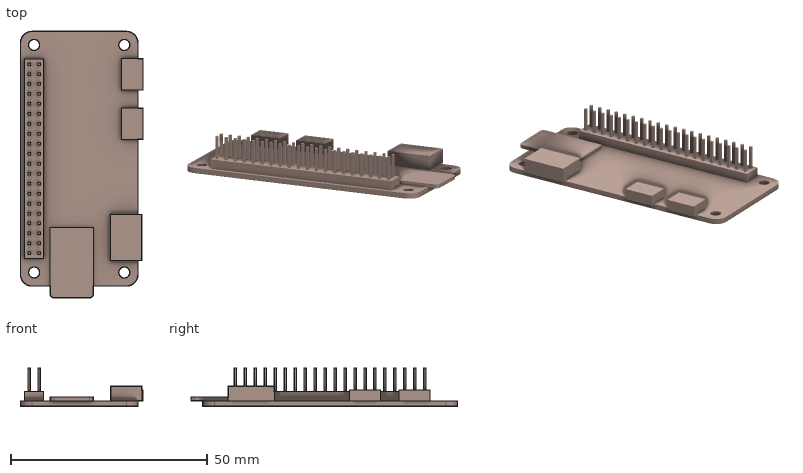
import cadquery as cq

board_width = 30.0
board_length = 65.0
board_thickness = 1.4
board_corner_radius = 3.0

hole_diameter = 2.75
hole_edge_distance = 3.5

pin_pitch = 2.54
pin_columns = 2
pin_rows = 20
pin_size = 0.64
header_height = 2.45
header_width = 4.9
header_length = pin_rows * pin_pitch
header_edge_distance = 3.5
pin_height = 6.0

usb_width = 5.5
usb_length = 8.0
usb_height = 2.8
usb_overhang = 1.3
usb_end_distances = (41.4, 54.0)

hdmi_width = 8.0
hdmi_length = 11.8
hdmi_height = 3.8
hdmi_overhang = 1.0
hdmi_end_distance = 12.4

card_width = 11.0
card_length = 18.0
card_height = 1.0
card_overhang = 3.0
card_corner_radius = 1.0
card_edge_distance = 13.1

left_edge = -board_width / 2
right_edge = board_width / 2
front_edge = -board_length / 2
header_x = left_edge + header_edge_distance


def block_on_board(width, length, height, x, y):
    """A rectangular block standing on the board, centred at (x, y)."""
    block = cq.Workplane("XY").box(width, length, height, centered=(True, True, False))
    return block.translate((x, y, board_thickness))


def make_board():
    board = cq.Workplane("XY").box(
        board_width, board_length, board_thickness, centered=(True, True, False)
    )
    board = board.edges("|Z").fillet(board_corner_radius)
    hole_spacing_x = board_width - 2 * hole_edge_distance
    hole_spacing_y = board_length - 2 * hole_edge_distance
    return (
        board.faces(">Z")
        .workplane(origin=(0, 0, 0))
        .rect(hole_spacing_x, hole_spacing_y, forConstruction=True)
        .vertices()
        .hole(hole_diameter)
    )


def make_header_body():
    return block_on_board(header_width, header_length, header_height, header_x, 0)


def make_header_pins():
    """Square pins rising from the top of the header body, two columns side by side."""
    header_top = board_thickness + header_height
    return (
        cq.Workplane("XY", origin=(header_x, 0, header_top))
        .rarray(pin_pitch, pin_pitch, pin_columns, pin_rows)
        .rect(pin_size, pin_size)
        .extrude(pin_height)
    )


def make_edge_socket(width, length, height, overhang, end_distance):
    """A socket overhanging the right edge, placed by its distance from the front edge."""
    x = right_edge + overhang - width / 2
    return block_on_board(width, length, height, x, front_edge + end_distance)


def make_memory_card():
    """A thin card overhanging the front edge, rounded at its two outer corners."""
    x = left_edge + card_edge_distance
    y = front_edge - card_overhang + card_length / 2
    card = block_on_board(card_width, card_length, card_height, x, y)
    return card.faces("<Y").edges("|Z").fillet(card_corner_radius)


result = make_board()
result = result.union(make_header_body())
result = result.union(make_header_pins())
for usb_end_distance in usb_end_distances:
    result = result.union(
        make_edge_socket(usb_width, usb_length, usb_height, usb_overhang, usb_end_distance)
    )
result = result.union(
    make_edge_socket(hdmi_width, hdmi_length, hdmi_height, hdmi_overhang, hdmi_end_distance)
)
result = result.union(make_memory_card())